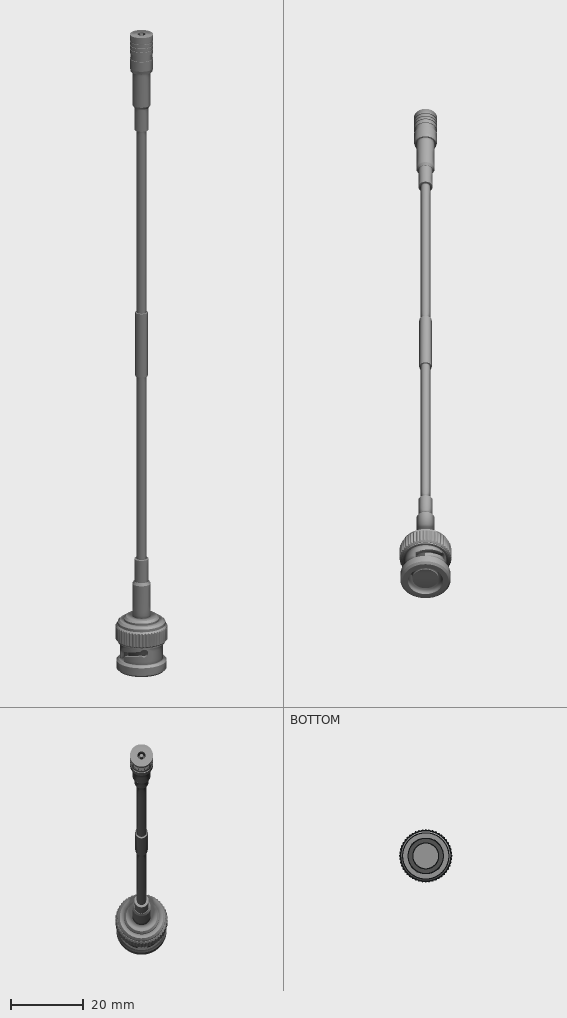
import cadquery as cq
import math

TOTAL_LENGTH = 187.4
MAX_DIAMETER = 14.5

CABLE_RADIUS = 1.3
BOOT_DIAMETER = 4.0
BOOT_LENGTH = 6.5
MARKER_RADIUS = 1.72
MARKER_LENGTH = 18.7

FERRULE_DIAMETER = 5.0
FERRULE_RADIUS = FERRULE_DIAMETER / 2
FERRULE_END_INSET = 0.47
FERRULE_END_RADIUS = FERRULE_RADIUS - FERRULE_END_INSET
FERRULE_END_HEIGHT = 0.7
CABLE_BOTTOM = 26.0
CABLE_TOP = 165.8

COLLAR_RADIUS = 4.9
COLLAR_BOTTOM = 8.2
COLLAR_TOP = 15.7
COLLAR_CHAMFER = 0.5
BARREL_RADIUS = 3.5
BARREL_BOTTOM = 1.0

NUT_FLANGE_RADIUS = 7.0
NUT_FLANGE_TOP = 3.4
NUT_FLANGE_CHAMFER = 0.5
NUT_NECK_DIAMETER = 11.8
NUT_NECK_RADIUS = NUT_NECK_DIAMETER / 2
NUT_GRIP_RADIUS = 6.5
NUT_GRIP_BOTTOM = 8.2
NUT_TOP = 14.6
NUT_TOP_CHAMFER = 0.5

KNURL_RADIUS = MAX_DIAMETER / 2
KNURL_DEPTH = 0.28
KNURL_TEETH = 48
KNURL_BOTTOM = 8.6
KNURL_TOP = 13.3
KNURL_CHAMFER = 0.5

SLOT_COUNT = 2
ENTRY_ANGLE = -34.0
ENTRY_WIDTH = 2.6
ENTRY_TOP = 6.0
DETENT_ANGLE = 40.0
DETENT_RADIUS = 1.1
DETENT_HEIGHT = 6.7
RAMP_START_HEIGHT = 5.5
RAMP_WIDTH = 1.4
CUTTER_INNER = 2.8
CUTTER_OUTER = 7.5

SLEEVE_RADIUS = 3.2
SLEEVE_WAIST_RADIUS = 3.0
SLEEVE_BORE_RADIUS = 2.2
SLEEVE_BOTTOM = 176.5
SLEEVE_TAPER_HEIGHT = 1.0
WAIST_BOTTOM = 180.2
WAIST_TOP = 182.0
GROOVE_COUNT = 3
GROOVE_TOP = 185.7
GROOVE_PITCH = 1.1
GROOVE_HEIGHT = 0.4
GROOVE_DEPTH = 0.2

CONTACT_BORE_RADIUS = 1.1
CONTACT_PIN_RADIUS = 0.47
CONTACT_BORE_DEPTH = 3.7


def turned(profile):
    """Solid of revolution about Z from a list of (radius, height) points."""
    return cq.Workplane("XZ").polyline(profile).close().revolve(360, (0, 0), (0, 1))


def tube(outer_radius, inner_radius, bottom, length):
    return cq.Workplane(origin=(0, 0, bottom)).circle(outer_radius).circle(inner_radius).extrude(length)


def make_cable():
    return cq.Workplane(origin=(0, 0, CABLE_BOTTOM)).circle(CABLE_RADIUS).extrude(CABLE_TOP - CABLE_BOTTOM)


def make_boots():
    """The two strain-relief tubes, one against each ferrule."""
    bottoms = [CABLE_BOTTOM, CABLE_TOP - BOOT_LENGTH]
    return [tube(BOOT_DIAMETER / 2, CABLE_RADIUS, bottom, BOOT_LENGTH) for bottom in bottoms]


def make_marker():
    """The label tube halfway along the cable."""
    middle = (CABLE_BOTTOM + CABLE_TOP) / 2
    return tube(MARKER_RADIUS, CABLE_RADIUS, middle - MARKER_LENGTH / 2, MARKER_LENGTH)


def make_bayonet_body():
    """Contact barrel, collar that carries the nut, and crimp ferrule, in one turned piece."""
    return turned([
        (0, BARREL_BOTTOM),
        (BARREL_RADIUS, BARREL_BOTTOM),
        (BARREL_RADIUS, COLLAR_BOTTOM),
        (COLLAR_RADIUS, COLLAR_BOTTOM),
        (COLLAR_RADIUS, COLLAR_TOP - COLLAR_CHAMFER),
        (COLLAR_RADIUS - COLLAR_CHAMFER, COLLAR_TOP),
        (FERRULE_RADIUS, COLLAR_TOP),
        (FERRULE_RADIUS, CABLE_BOTTOM - FERRULE_END_HEIGHT),
        (FERRULE_END_RADIUS, CABLE_BOTTOM),
        (0, CABLE_BOTTOM),
    ])


def make_knurl():
    """Band of V-shaped teeth, chamfered at both ends."""
    root_radius = KNURL_RADIUS - KNURL_DEPTH
    outline = []
    for i in range(2 * KNURL_TEETH):
        angle = math.pi * i / KNURL_TEETH
        radius = KNURL_RADIUS if i % 2 == 0 else root_radius
        outline.append((radius * math.cos(angle), radius * math.sin(angle)))
    band_height = KNURL_TOP - KNURL_BOTTOM
    teeth = cq.Workplane(origin=(0, 0, KNURL_BOTTOM)).polyline(outline).close().extrude(band_height)
    envelope = (
        cq.Workplane(origin=(0, 0, KNURL_BOTTOM))
        .circle(KNURL_RADIUS)
        .extrude(band_height)
        .edges()
        .chamfer(KNURL_CHAMFER)
    )
    return teeth.intersect(envelope)


def slot_plane():
    """Plane facing -Y, just inside the wall of the nut."""
    return cq.Workplane("XZ", origin=(0, -CUTTER_INNER, 0))


def make_slot_cutter():
    """One bayonet slot: straight entry, rising ramp and round detent."""
    depth = CUTTER_OUTER - CUTTER_INNER
    entry = (
        slot_plane()
        .center(0, (NUT_FLANGE_TOP + ENTRY_TOP) / 2)
        .rect(ENTRY_WIDTH, ENTRY_TOP - NUT_FLANGE_TOP)
        .extrude(depth)
    )
    detent = slot_plane().center(0, DETENT_HEIGHT).circle(DETENT_RADIUS).extrude(depth)

    half_span = (DETENT_ANGLE - ENTRY_ANGLE) / 2
    ramp_reach = NUT_NECK_RADIUS * math.sin(math.radians(half_span))
    half_width = RAMP_WIDTH / 2
    ramp = (
        slot_plane()
        .polyline([
            (-ramp_reach, RAMP_START_HEIGHT - half_width),
            (ramp_reach, DETENT_HEIGHT - half_width),
            (ramp_reach, DETENT_HEIGHT + half_width),
            (-ramp_reach, RAMP_START_HEIGHT + half_width),
        ])
        .close()
        .extrude(depth)
    )

    axis = ((0, 0, 0), (0, 0, 1))
    entry = entry.rotate(*axis, ENTRY_ANGLE)
    ramp = ramp.rotate(*axis, ENTRY_ANGLE + half_span)
    detent = detent.rotate(*axis, DETENT_ANGLE)
    return entry.union(ramp).union(detent)


def make_coupling_nut():
    """Bayonet nut with a knurled grip and two slots, bored to fit the collar."""
    nut = turned([
        (0, 0),
        (NUT_FLANGE_RADIUS - NUT_FLANGE_CHAMFER, 0),
        (NUT_FLANGE_RADIUS, NUT_FLANGE_CHAMFER),
        (NUT_FLANGE_RADIUS, NUT_FLANGE_TOP - NUT_FLANGE_CHAMFER),
        (NUT_FLANGE_RADIUS - NUT_FLANGE_CHAMFER, NUT_FLANGE_TOP),
        (NUT_NECK_RADIUS, NUT_FLANGE_TOP),
        (NUT_NECK_RADIUS, NUT_GRIP_BOTTOM),
        (NUT_GRIP_RADIUS, NUT_GRIP_BOTTOM),
        (NUT_GRIP_RADIUS, NUT_TOP - NUT_TOP_CHAMFER),
        (NUT_GRIP_RADIUS - NUT_TOP_CHAMFER, NUT_TOP),
        (0, NUT_TOP),
    ])
    nut = nut.union(make_knurl())
    bore = cq.Workplane().circle(COLLAR_RADIUS).extrude(NUT_TOP)
    nut = nut.cut(bore)
    slot = make_slot_cutter()
    for i in range(SLOT_COUNT):
        nut = nut.cut(slot.rotate((0, 0, 0), (0, 0, 1), i * 360 / SLOT_COUNT))
    return nut


def make_push_on_body():
    """Crimp ferrule with the contact tube and centre pin that stand inside the sleeve."""
    bore_floor = TOTAL_LENGTH - CONTACT_BORE_DEPTH
    return turned([
        (0, CABLE_TOP),
        (FERRULE_END_RADIUS, CABLE_TOP),
        (FERRULE_RADIUS, CABLE_TOP + FERRULE_END_HEIGHT),
        (FERRULE_RADIUS, SLEEVE_BOTTOM),
        (SLEEVE_BORE_RADIUS, SLEEVE_BOTTOM),
        (SLEEVE_BORE_RADIUS, TOTAL_LENGTH),
        (CONTACT_BORE_RADIUS, TOTAL_LENGTH),
        (CONTACT_BORE_RADIUS, bore_floor),
        (CONTACT_PIN_RADIUS, bore_floor),
        (CONTACT_PIN_RADIUS, TOTAL_LENGTH),
        (0, TOTAL_LENGTH),
    ])


def make_push_on_sleeve():
    """Outer sleeve with a waist, a slight taper at the bottom and finger grooves near the top."""
    sleeve = turned([
        (SLEEVE_BORE_RADIUS, SLEEVE_BOTTOM),
        (SLEEVE_WAIST_RADIUS, SLEEVE_BOTTOM),
        (SLEEVE_RADIUS, SLEEVE_BOTTOM + SLEEVE_TAPER_HEIGHT),
        (SLEEVE_RADIUS, WAIST_BOTTOM),
        (SLEEVE_WAIST_RADIUS, WAIST_BOTTOM),
        (SLEEVE_WAIST_RADIUS, WAIST_TOP),
        (SLEEVE_RADIUS, WAIST_TOP),
        (SLEEVE_RADIUS, TOTAL_LENGTH),
        (SLEEVE_BORE_RADIUS, TOTAL_LENGTH),
    ])
    for i in range(GROOVE_COUNT):
        groove_bottom = GROOVE_TOP - GROOVE_HEIGHT - i * GROOVE_PITCH
        groove = tube(SLEEVE_RADIUS, SLEEVE_RADIUS - GROOVE_DEPTH, groove_bottom, GROOVE_HEIGHT)
        sleeve = sleeve.cut(groove)
    return sleeve


cable = make_cable()
boots = make_boots()
marker = make_marker()
bayonet_body = make_bayonet_body()
coupling_nut = make_coupling_nut()
push_on_body = make_push_on_body()
push_on_sleeve = make_push_on_sleeve()

result = cq.Compound.makeCompound([
    cable.val(),
    *[boot.val() for boot in boots],
    marker.val(),
    bayonet_body.val(),
    coupling_nut.val(),
    push_on_body.val(),
    push_on_sleeve.val(),
])